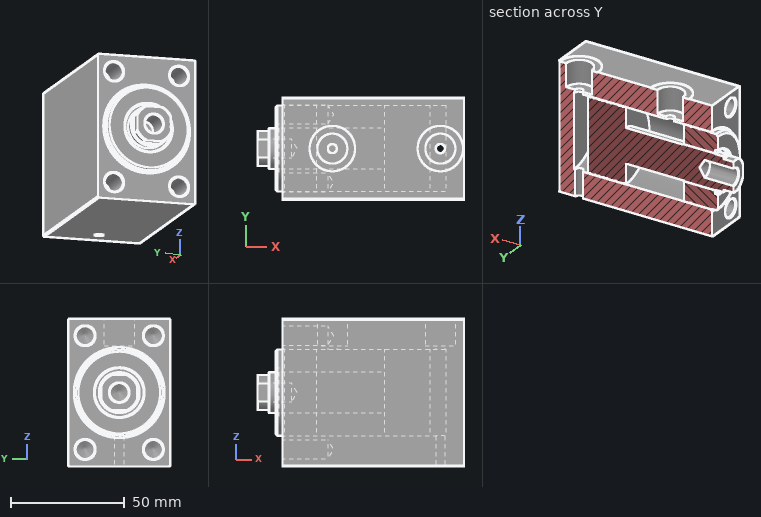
import cadquery as cq
import math


block_length = 80.0
block_width = 45.0
block_height = 65.0
block_edge_chamfer = 0.5

bore_diameter = 38.0
bore_mouth_chamfer = 1.0
end_wall = 8.0
bore_depth = block_length - end_wall

fixing_spacing_y = 30.0
fixing_spacing_z = 50.0
fixing_depth = 20.0
fixing_chamfer = 0.4

tap_drill_diameter = 8.4
drill_tip_angle = 118.0

front_port_x = 22.0
rear_port_x = 69.5
port_diameter = 13.2
port_depth = 12.0
spotface_diameter = 20.0
spotface_depth = 0.2
oil_hole_diameter = 4.0

cap_protrusion = 3.0
cap_insertion = 15.0
cap_chamfer = 1.0
cap_recess_diameter = 21.5
cap_recess_depth = 1.5
cap_recess_lip_diameter = 22.3
cap_recess_lip_depth = 0.2

rod_diameter = 18.0
rod_tip_x = -11.0
rod_shoulder_x = -6.0
rod_shoulder_chamfer = 0.4
wrench_end_diameter = 17.4
wrench_flats = 15.5
wrench_end_chamfer = 0.3
rod_hole_depth = 15.0
rod_hole_chamfer = 0.3
piston_front_x = 45.0
piston_back_x = 65.0


def cylinder_x(diameter, x_start, x_end):
    """Cylinder about the X axis between two X positions."""
    return cq.Workplane("YZ", origin=(x_start, 0, 0)).circle(diameter / 2).extrude(x_end - x_start)


def cylinder_down(diameter, x, z_top, depth):
    """Vertical cylinder that starts at z_top and goes down."""
    return cq.Workplane("XY", origin=(x, 0, z_top)).circle(diameter / 2).extrude(-depth)


def tapped_hole(depth, chamfer):
    """Cutter for a drilled hole along +X with a chamfered mouth at X = 0 and a conical end."""
    radius = tap_drill_diameter / 2
    tip_length = radius / math.tan(math.radians(drill_tip_angle / 2))
    profile = (
        cq.Workplane("XY")
        .moveTo(0, 0)
        .lineTo(0, radius + chamfer)
        .lineTo(chamfer, radius)
        .lineTo(depth, radius)
        .lineTo(depth + tip_length, 0)
        .close()
    )
    return profile.revolve(360, (0, 0, 0), (1, 0, 0))


def bore_cutter():
    """Bore with a chamfered mouth."""
    radius = bore_diameter / 2
    profile = (
        cq.Workplane("XY")
        .moveTo(0, 0)
        .lineTo(0, radius + bore_mouth_chamfer)
        .lineTo(bore_mouth_chamfer, radius)
        .lineTo(bore_depth, radius)
        .lineTo(bore_depth, 0)
        .close()
    )
    return profile.revolve(360, (0, 0, 0), (1, 0, 0))


def port_cutter(x, oil_hole_depth):
    """Spotface, port and oil hole, going down from the top face."""
    top = block_height / 2
    spotface = cylinder_down(spotface_diameter, x, top, spotface_depth)
    port = cylinder_down(port_diameter, x, top, port_depth)
    oil_hole = cylinder_down(oil_hole_diameter, x, top, oil_hole_depth)
    return spotface.union(port).union(oil_hole)


def make_housing():
    housing = (
        cq.Workplane("XY")
        .box(block_length, block_width, block_height)
        .translate((block_length / 2, 0, 0))
        .edges("|X")
        .chamfer(block_edge_chamfer)
        .cut(bore_cutter())
    )
    fixing_hole = tapped_hole(fixing_depth, fixing_chamfer)
    for side_y in (-1, 1):
        for side_z in (-1, 1):
            position = (0, side_y * fixing_spacing_y / 2, side_z * fixing_spacing_z / 2)
            housing = housing.cut(fixing_hole.translate(position))

    housing = housing.cut(port_cutter(front_port_x, block_height / 2))
    return housing.cut(port_cutter(rear_port_x, block_height))


def make_cap():
    front_x = -cap_protrusion
    cap = (
        cylinder_x(bore_diameter, front_x, cap_insertion)
        .faces("<X")
        .chamfer(cap_chamfer)
        .cut(cylinder_x(cap_recess_lip_diameter, front_x, front_x + cap_recess_lip_depth))
        .cut(cylinder_x(cap_recess_diameter, front_x, front_x + cap_recess_depth))
    )
    return cap.cut(cylinder_x(rod_diameter, front_x, cap_insertion))


def make_piston():
    rod = cylinder_x(rod_diameter, rod_shoulder_x, piston_back_x)
    rod = rod.faces("<X").chamfer(rod_shoulder_chamfer)
    wrench_end = cylinder_x(wrench_end_diameter, rod_tip_x, rod_shoulder_x)
    wrench_end = wrench_end.faces("<X").chamfer(wrench_end_chamfer)
    flats = (
        cq.Workplane("YZ", origin=(rod_tip_x, 0, 0))
        .rect(wrench_flats, wrench_flats)
        .extrude(rod_shoulder_x - rod_tip_x)
    )
    head = cylinder_x(bore_diameter, piston_front_x, piston_back_x)
    rod_hole = tapped_hole(rod_hole_depth, rod_hole_chamfer).translate((rod_tip_x, 0, 0))
    return rod.union(wrench_end.intersect(flats)).union(head).cut(rod_hole)


housing = make_housing()
cap = make_cap()
piston = make_piston()

result = cq.Compound.makeCompound([housing.val(), cap.val(), piston.val()])